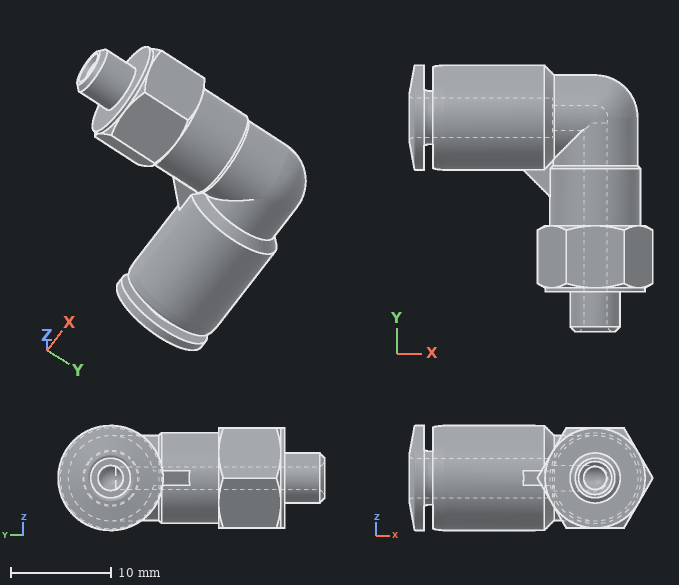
import cadquery as cq
import math


elbow_radius = 4.26

collar_tip = 18.58
collar_rim_front = 18.07
collar_back = 17.08
neck_cone_end = 16.68
body_front = 16.2
body_front_bevel_end = 15.9
body_taper_end = 15.1
body_back = 5.1
body_back_bevel = 0.99
body_radius = 10.5 / 2
body_bevel_radius = 5.17
body_face_radius = 10.1 / 2
neck_radius = 5.35 / 2
neck_root_radius = 2.8
collar_edge_round = 0.15
mouth_round = 0.35

shank_start = 4.8
shank_bevel_end = 5.12
shank_radius = 9.1 / 2
hex_start = 10.8
hex_end = 17.0
seat_end = 17.4
stud_end = 21.4
hex_across_flats = 10.0
hex_corner_radius = hex_across_flats / math.sqrt(3)
seat_radius = hex_across_flats / 2
hex_bevel = (hex_corner_radius - seat_radius) * math.tan(math.radians(30))
stud_radius = 5.0 / 2
stud_tip_radius = 3.97 / 2
stud_bevel = stud_radius - stud_tip_radius

tube_bore_radius = 3.97 / 2
tube_stop = 4.26
tube_passage_radius = 2.5 / 2
stud_passage_radius = 2.3 / 2
stud_mouth_radius = 3.3 / 2
stud_mouth_depth = stud_mouth_radius - stud_passage_radius

web_thickness = 1.5
web_corner = 3.2
web_leg = 6.0


def revolve_tube_arm(points):
    """Revolve (distance, radius) points about the X axis, towards -X."""
    profile = cq.Workplane("XY").polyline([(-distance, radius) for distance, radius in points]).close()
    return profile.revolve(360, (0, 0, 0), (1, 0, 0))


def revolve_stud_arm(points):
    """Revolve (distance, radius) points about the Y axis, towards -Y."""
    profile = cq.Workplane("XY").polyline([(radius, -distance) for distance, radius in points]).close()
    return profile.revolve(360, (0, 0, 0), (0, 1, 0))


def make_tube_arm():
    mouth_radius = tube_bore_radius + mouth_round
    body = revolve_tube_arm([
        (0, 0),
        (0, elbow_radius),
        (body_back - body_back_bevel, elbow_radius),
        (body_back, body_radius),
        (body_taper_end, body_radius),
        (body_front_bevel_end, body_bevel_radius),
        (body_front, body_face_radius),
        (body_front, neck_radius),
        (neck_cone_end, neck_radius),
        (neck_cone_end, 0),
    ])
    collar = (
        cq.Workplane("XY")
        .moveTo(-neck_cone_end, 0)
        .lineTo(-neck_cone_end, neck_radius)
        .lineTo(-collar_back, neck_root_radius)
        .lineTo(-collar_back, body_radius)
        .lineTo(-collar_rim_front + collar_edge_round, body_radius)
        .radiusArc((-collar_rim_front, body_radius - collar_edge_round), -collar_edge_round)
        .lineTo(-collar_tip, mouth_radius)
        .radiusArc((-collar_tip + mouth_round, tube_bore_radius), -mouth_round)
        .lineTo(-collar_tip + mouth_round, 0)
        .close()
        .revolve(360, (0, 0, 0), (1, 0, 0))
    )
    return body.union(collar)


def make_hexagon():
    """Hexagon with points on +X and -X, bevelled at both ends."""
    prism = (
        cq.Workplane("XZ", origin=(0, -hex_start, 0))
        .polygon(6, 2 * hex_corner_radius)
        .extrude(hex_end - hex_start)
    )
    bevel_envelope = revolve_stud_arm([
        (hex_start, 0),
        (hex_start, seat_radius),
        (hex_start + hex_bevel, hex_corner_radius),
        (hex_end - hex_bevel, hex_corner_radius),
        (hex_end, seat_radius),
        (hex_end, 0),
    ])
    return prism.intersect(bevel_envelope)


def make_stud_arm():
    shank = revolve_stud_arm([
        (0, 0),
        (0, elbow_radius),
        (shank_start, elbow_radius),
        (shank_bevel_end, shank_radius),
        (hex_start, shank_radius),
        (hex_start, 0),
    ])
    stud = revolve_stud_arm([
        (hex_end, 0),
        (hex_end, seat_radius),
        (seat_end, seat_radius),
        (seat_end, stud_radius),
        (stud_end - stud_bevel, stud_radius),
        (stud_end, stud_tip_radius),
        (stud_end, 0),
    ])
    return shank.union(make_hexagon()).union(stud)


def make_web():
    """Triangular web joining the two arms."""
    corner = -web_corner
    return (
        cq.Workplane("XY", origin=(0, 0, -web_thickness / 2))
        .polyline([(corner, corner), (corner - web_leg, corner), (corner, corner - web_leg)])
        .close()
        .extrude(web_thickness)
    )


def make_bores():
    """Flow passage with a round end at the elbow, the tube socket and the stud mouth."""
    tube_bore = revolve_tube_arm([
        (0, 0),
        (0, tube_passage_radius),
        (tube_stop, tube_passage_radius),
        (tube_stop, tube_bore_radius),
        (collar_tip, tube_bore_radius),
        (collar_tip, 0),
    ])
    stud_bore = revolve_stud_arm([
        (0, 0),
        (0, stud_passage_radius),
        (stud_end - stud_mouth_depth, stud_passage_radius),
        (stud_end, stud_mouth_radius),
        (stud_end, 0),
    ])
    round_end = cq.Workplane("XY").sphere(tube_passage_radius)
    return tube_bore.union(stud_bore).union(round_end)


elbow_ball = cq.Workplane("XY").sphere(elbow_radius)
result = elbow_ball.union(make_tube_arm()).union(make_stud_arm()).union(make_web()).cut(make_bores())